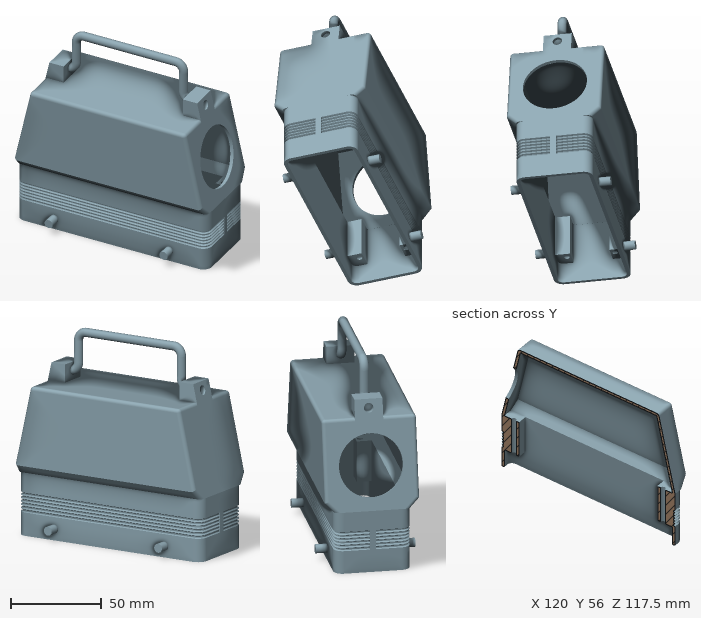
import cadquery as cq
import math


length = 120.0
wall = 2.0
base_width = 43.0
base_height = 36.0
base_corner_radius = 5.3
head_width = 53.0
head_top = 86.9
shoulder_top = 41.0
taper_angle = 12.6
head_fillet = 2.0

groove_count = 6
groove_pitch = 1.9
groove_mouth = 1.7
groove_floor = 0.7
groove_depth = 1.0
lowest_groove_z = 14.2
end_rib_width = 3.4

pin_diameter = 5.0
pin_x = 36.0
pin_z = 6.6
pin_span = 56.0

opening_diameter = 36.0
opening_z = 60.8

post_x = 47.8
post_y = 11.0
post_bottom = 12.0
screw_x = 51.5
screw_y = 13.5
screw_diameter = 3.1

handle_top = 117.5
rod_diameter = 5.0
bend_radius = 5.0
handle_leg_x = 33.6
lug_top = 97.2
lug_width = 15.8
lug_inner_x = 37.3
socket_diameter = 5.3
socket_z = 92.3
rod_end_x = 44.8

taper = math.tan(math.radians(taper_angle))


def end_face_x(z):
    """X of the sloping +X end face at height z."""
    return length / 2 - taper * (z - base_height)


def base_block(inset=0.0):
    """Straight lower block with round corners, shrunk sideways by inset."""
    return (
        cq.Workplane("XY")
        .rect(length - 2 * inset, base_width - 2 * inset)
        .extrude(base_height)
        .edges("|Z")
        .fillet(base_corner_radius - inset)
    )


def head_block(inset=0.0):
    """Tapered head with sloping shoulders, shrunk by inset all round."""
    foot_x = length / 2 - inset / math.cos(math.radians(taper_angle))
    top_z = head_top - inset
    top_x = foot_x - taper * (top_z - base_height)
    foot_y = base_width / 2 - inset
    side_y = head_width / 2 - inset
    side_view = (
        cq.Workplane("XZ")
        .polyline([(-foot_x, base_height), (foot_x, base_height), (top_x, top_z), (-top_x, top_z)])
        .close()
        .extrude(head_width / 2, both=True)
    )
    cross_section = (
        cq.Workplane("YZ")
        .moveTo(-foot_y, base_height)
        .lineTo(foot_y, base_height)
        .lineTo(side_y, shoulder_top)
        .lineTo(side_y, top_z)
        .lineTo(-side_y, top_z)
        .lineTo(-side_y, shoulder_top)
        .close()
        .extrude(length / 2, both=True)
    )
    return side_view.intersect(cross_section)


def rounded_head():
    """Head with its top rim and the edges of both end faces rounded."""
    head = head_block()
    lengthwise = head.edges("|X").edges(">Z")
    around_ends = head.edges("not(|X)").edges("not(<Z)")
    return head.newObject(lengthwise.vals() + around_ends.vals()).fillet(head_fillet)


def groove_ring(z):
    """Ring cutter for a trapezoid groove around the base, centred on height z."""
    floor_length = length - 2 * groove_depth
    floor_width = base_width - 2 * groove_depth
    floor_radius = base_corner_radius - groove_depth
    flank = (groove_mouth - groove_floor) / 2

    def slab(bottom, height, x_size, y_size, radius, widening=0.0):
        """Rounded slab whose sides spread out by widening towards the top."""
        angle = -math.degrees(math.atan2(widening, height))
        outline = cq.Sketch().rect(x_size, y_size).vertices().fillet(radius)
        return cq.Workplane("XY").workplane(offset=bottom).placeSketch(outline).extrude(height, taper=angle)

    floor_half = slab(z, groove_floor / 2, floor_length, floor_width, floor_radius)
    upper_flank = slab(z + groove_floor / 2, flank, floor_length, floor_width, floor_radius, groove_depth)
    upper_half = floor_half.union(upper_flank)
    core = upper_half.union(upper_half.mirror("XY", (0, 0, z)))
    blank = slab(z - groove_mouth / 2, groove_mouth, length + wall, base_width + wall, base_corner_radius)
    return blank.cut(core)


def grip_grooves():
    """All the grooves, interrupted by a plain rib at each end."""
    rib = cq.Workplane("XY").box(2 * length, end_rib_width, 2 * base_height)
    grooves = groove_ring(lowest_groove_z)
    for index in range(1, groove_count):
        grooves = grooves.add(groove_ring(lowest_groove_z + index * groove_pitch))
    return grooves.combine().cut(rib)


def screw_posts():
    """Four drilled corner posts that fill the corners of the base."""
    size_x = length / 2 - post_x
    size_y = base_width / 2 - post_y
    posts = (
        cq.Workplane("XY")
        .workplane(offset=post_bottom)
        .rect(2 * post_x + size_x, 2 * post_y + size_y, forConstruction=True)
        .vertices()
        .rect(size_x, size_y)
        .extrude(base_height - post_bottom)
        .intersect(base_block(wall / 2))
    )
    screw_holes = (
        cq.Workplane("XY")
        .rect(2 * screw_x, 2 * screw_y, forConstruction=True)
        .vertices()
        .circle(screw_diameter / 2)
        .extrude(base_height)
    )
    return posts.cut(screw_holes)


def cable_opening():
    """Round cutter square to the +X end face, just deep enough for its wall."""
    plane = cq.Plane(
        origin=(end_face_x(opening_z), 0, opening_z),
        xDir=(0, 1, 0),
        normal=(math.cos(math.radians(taper_angle)), 0, math.sin(math.radians(taper_angle))),
    )
    return cq.Workplane(plane).circle(opening_diameter / 2).extrude(2 * wall, both=True)


def locking_pins():
    """Two pins on each long side, starting inside the wall."""
    inner_span = base_width - wall
    pin_length = (pin_span - inner_span) / 2
    pins = (
        cq.Workplane("XZ", origin=(0, -inner_span / 2, pin_z))
        .pushPoints([(-pin_x, 0), (pin_x, 0)])
        .circle(pin_diameter / 2)
        .extrude(pin_length)
    )
    return pins.union(pins.mirror("XZ"))


def lug():
    """Handle lug at the +X end, flush with the end face, with its socket."""
    root_z = head_top - 2 * head_fillet
    body = (
        cq.Workplane("XZ")
        .moveTo(lug_inner_x, head_top - wall)
        .lineTo(lug_inner_x, lug_top)
        .lineTo(end_face_x(lug_top), lug_top)
        .lineTo(end_face_x(root_z), root_z)
        .lineTo(end_face_x(root_z) - wall, root_z)
        .lineTo(end_face_x(head_top) - wall, head_top - wall)
        .close()
        .extrude(lug_width / 2, both=True)
    )
    socket = (
        cq.Workplane("YZ", origin=(rod_end_x, 0, socket_z))
        .circle(socket_diameter / 2)
        .extrude(length / 2 - rod_end_x)
    )
    return body.cut(socket)


def handle():
    """Bent rod from one socket, up over the hood, to the other."""
    bar_z = handle_top - rod_diameter / 2
    bend_mid = bend_radius * math.sqrt(0.5)
    lower_x = handle_leg_x + bend_radius
    lower_z = socket_z + bend_radius
    upper_x = handle_leg_x - bend_radius
    upper_z = bar_z - bend_radius
    path = (
        cq.Workplane("XZ")
        .moveTo(-rod_end_x, socket_z)
        .lineTo(-lower_x, socket_z)
        .threePointArc((-lower_x + bend_mid, lower_z - bend_mid), (-handle_leg_x, lower_z))
        .lineTo(-handle_leg_x, upper_z)
        .threePointArc((-upper_x - bend_mid, upper_z + bend_mid), (-upper_x, bar_z))
        .lineTo(upper_x, bar_z)
        .threePointArc((upper_x + bend_mid, upper_z + bend_mid), (handle_leg_x, upper_z))
        .lineTo(handle_leg_x, lower_z)
        .threePointArc((lower_x - bend_mid, lower_z - bend_mid), (lower_x, socket_z))
        .lineTo(rod_end_x, socket_z)
    )
    return (
        cq.Workplane("YZ", origin=(-rod_end_x, 0, socket_z))
        .circle(rod_diameter / 2)
        .sweep(path)
    )


shell = base_block().union(rounded_head())
shell = shell.cut(base_block(wall)).cut(head_block(wall))
shell = shell.cut(grip_grooves()).cut(cable_opening())
lugs = lug().union(lug().mirror("YZ"))
result = shell.union(screw_posts()).union(locking_pins()).union(lugs).union(handle())